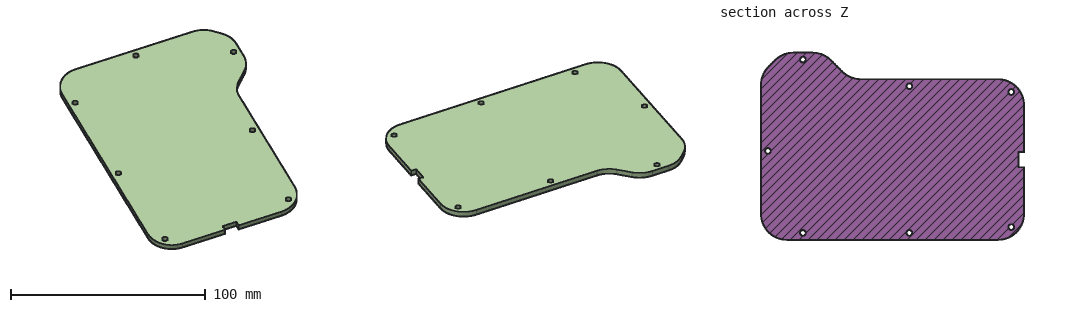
import cadquery as cq

length = 135.4
width = 96.4
thickness = 3.1
corner_radius = 13.5

lobe_rise = 13.7
lobe_center_x = 21.7
lobe_top_half_width = 10.4
body_width = width - lobe_rise
lobe_left = lobe_center_x - lobe_top_half_width
lobe_right = lobe_center_x + lobe_top_half_width

hole_diameter = 2.8
edge_inset = 3.7
corner_inset = 6.6
middle_hole_x = 76.4
left_hole_y = 45.8

notch_depth = 2.8
notch_width = 7.7


def make_plate():
    """Sharp-cornered outline, extruded and then rounded at every vertical edge."""
    outline = [
        (0, 0),
        (length, 0),
        (length, body_width),
        (lobe_right + lobe_rise, body_width),
        (lobe_right, width),
        (lobe_left, width),
        (0, width - lobe_left),
    ]
    plate = cq.Workplane("XY").polyline(outline).close().extrude(thickness)
    return plate.edges("|Z").fillet(corner_radius)


def make_notch():
    """Rectangular cutter, twice the notch depth so that it clears the edge."""
    return (
        cq.Workplane("XY")
        .center(length, body_width / 2)
        .rect(2 * notch_depth, notch_width)
        .extrude(thickness)
    )


def make_holes():
    """Cutters for the through holes along the rim."""
    centers = [
        (lobe_center_x, edge_inset),
        (lobe_center_x, width - edge_inset),
        (middle_hole_x, edge_inset),
        (middle_hole_x, body_width - edge_inset),
        (length - corner_inset, corner_inset),
        (length - corner_inset, body_width - corner_inset),
        (edge_inset, left_hole_y),
    ]
    return cq.Workplane("XY").pushPoints(centers).circle(hole_diameter / 2).extrude(thickness)


result = make_plate().cut(make_notch()).cut(make_holes())